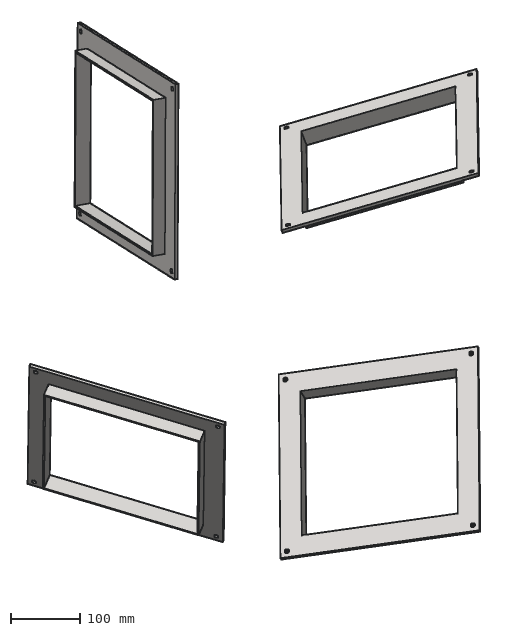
import cadquery as cq
import math

outer_span = 302.5
tilt = 0.5
total_depth = 25.0
plate_thickness = 5.0
collar_side = 240.0
collar_wall = 2.5
hole_diameter = 6.5
hole_inset = 10.0

tilt_radians = math.radians(tilt)
plate_side = outer_span / (math.cos(tilt_radians) + math.sin(tilt_radians))
opening_side = collar_side - 2 * collar_wall
hole_spacing = plate_side - 2 * hole_inset


def square_block(side, depth):
    """Square block centred on the Y axis, from the back face (Y = 0) towards -Y."""
    return cq.Workplane("XZ").rect(side, side).extrude(depth)


body = square_block(plate_side, plate_thickness).union(square_block(collar_side, total_depth))

frame = body.cut(square_block(opening_side, total_depth))

holes = (
    cq.Workplane("XZ")
    .rect(hole_spacing, hole_spacing, forConstruction=True)
    .vertices()
    .circle(hole_diameter / 2)
    .extrude(plate_thickness)
)

result = frame.cut(holes).rotate((0, 0, 0), (0, 1, 0), tilt)